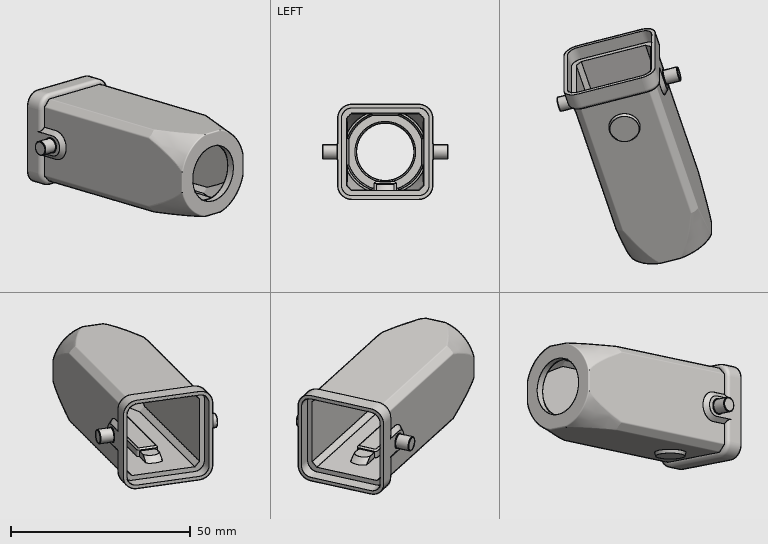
import cadquery as cq

length = 60.0
pin_span = 35.0

collar_span = 26.6
collar_half = collar_span / 2
collar_length = 5.4
collar_corner_radius = 4.0
collar_back_radius = 1.2
rim_thickness = 1.1
recess_depth = 3.85

body_half = 12.0
body_chamfer = 2.0
body_edge_radius = 0.6

nose_start = 46.85
nose_start_radius = 15.6
nose_end_radius = 12.3
end_edge_radius = 0.35

mouth_half = 10.8
room_chamfer = 1.45
room_end = 55.55
room_end_half = 10.55
room_cone_start_radius = 14.05
room_cone_end_radius = 11.8
bore_start_radius = 11.2
bore_floor_radius = 10.75
bore_floor = 57.3
bore_floor_half = 10.15
outlet_radius = 8.0
outlet_chamfer = 0.5

ear_center = 9.85
ear_start = 1.2
ear_base_half_width = 4.2
ear_height = collar_half - body_half
ear_side_angle = 45
pin_center = 9.25
pin_radius = 2.05
pin_tip_chamfer = 0.2
pin_foot = 0.2

boss_center = 14.7
boss_height = 1.0
boss_base_radius = 4.4
boss_tip_radius = 4.1
inner_boss_base_radius = 5.05
inner_boss_top_radius = 2.7
inner_boss_half_width = 2.45
inner_boss_top = -9.05
rib_start = 16.2
rib_half_width = 3.1
rib_front_radius = 0.65
rib_chamfer = 0.5
rib_top = -8.3

boss_root = (body_half + mouth_half) / 2


def rounded_square(half, corner_radius, depth):
    """Square block with rounded corners, from x = 0 to x = depth."""
    block = cq.Workplane("YZ").rect(2 * half, 2 * half).extrude(depth)
    return block.edges("|X").fillet(corner_radius)


def octagon(half, chamfer):
    """Corner points of a centred square with cut corners."""
    flat = half - chamfer
    return [
        (half, -flat), (half, flat), (flat, half), (-flat, half),
        (-half, flat), (-half, -flat), (-flat, -half), (flat, -half),
    ]


def octagon_loft(x_start, half_start, x_end, half_end, chamfer):
    """Tapered octagonal block between two places along X."""
    return (
        cq.Workplane("YZ", origin=(x_start, 0, 0))
        .polyline(octagon(half_start, chamfer)).close()
        .workplane(offset=x_end - x_start)
        .polyline(octagon(half_end, chamfer)).close()
        .loft(ruled=True)
    )


def cone_along_x(x_start, radius_start, x_end, radius_end):
    """Solid of revolution about X with a straight slanted side."""
    profile = [(x_start, 0), (x_start, radius_start), (x_end, radius_end), (x_end, 0)]
    return cq.Workplane("XY").polyline(profile).close().revolve(360, (0, 0, 0), (1, 0, 0))


def extended_cone(x_start, radius_start, x_end, radius_end):
    """Cone through two radii, carried on at the same slope back to x = 0."""
    slope = (radius_start - radius_end) / (x_end - x_start)
    return cone_along_x(0, radius_start + slope * x_start, x_end, radius_end)


def vertical_cone(radius_low, z_low, radius_high, z_high):
    """Upright cone frustum on the boss axis."""
    return (
        cq.Workplane("XY", origin=(boss_center, 0, z_low)).circle(radius_low)
        .workplane(offset=z_high - z_low).circle(radius_high).loft()
    )


def make_collar():
    """Collar block with its back rim rounded over."""
    collar = rounded_square(collar_half, collar_corner_radius, collar_length)
    return collar.faces(">X").edges().fillet(collar_back_radius)


def make_body():
    """Solid body with flattened corners and the conical nose."""
    body = cq.Workplane("YZ").polyline(octagon(body_half, body_chamfer)).close().extrude(length)
    body = body.intersect(extended_cone(nose_start, nose_start_radius, length, nose_end_radius))
    long_edges = body.edges("|X").vals()
    side_curves = body.edges("%HYPERBOLA").filter(lambda edge: edge.Length() > 2 * body_chamfer).vals()
    body = body.newObject(long_edges + side_curves).fillet(body_edge_radius)
    return body.faces(">X").edges().fillet(end_edge_radius)


def make_ear():
    """Sloped pad running from the collar to a round end, on the -Y side."""
    return (
        cq.Workplane("XZ", origin=(0, -body_half, 0))
        .moveTo(ear_start, -ear_base_half_width)
        .lineTo(ear_center, -ear_base_half_width)
        .threePointArc((ear_center + ear_base_half_width, 0), (ear_center, ear_base_half_width))
        .lineTo(ear_start, ear_base_half_width)
        .close()
        .extrude(ear_height, taper=ear_side_angle)
    )


def make_pin():
    """Locking pin on the -Y ear, with a small flared foot and a chamfered tip."""
    tip = pin_span / 2
    profile = [
        (0, body_half),
        (pin_radius + pin_foot, body_half),
        (pin_radius + pin_foot, collar_half),
        (pin_radius, collar_half + pin_foot),
        (pin_radius, tip - pin_tip_chamfer),
        (pin_radius - pin_tip_chamfer, tip),
        (0, tip),
    ]
    pin = cq.Workplane("XY").polyline(profile).close().revolve(360, (0, 0, 0), (0, 1, 0))
    return pin.mirror("XZ").translate((pin_center, 0, 0))


def make_cavity():
    """Everything hollow, from the recess at the mouth to the outlet hole."""
    recess = rounded_square(
        collar_half - rim_thickness, collar_corner_radius - rim_thickness, recess_depth
    )
    room = octagon_loft(0, mouth_half, room_end, room_end_half, room_chamfer)
    room = room.intersect(
        extended_cone(nose_start, room_cone_start_radius, room_end, room_cone_end_radius)
    )
    bore = octagon_loft(room_end, room_end_half, bore_floor, bore_floor_half, room_chamfer)
    bore = bore.intersect(
        cone_along_x(room_end, bore_start_radius, bore_floor, bore_floor_radius)
    )
    outlet = cone_along_x(bore_floor, outlet_radius, length, outlet_radius)
    countersink = cone_along_x(
        bore_floor, outlet_radius + outlet_chamfer, bore_floor + outlet_chamfer, outlet_radius
    )
    return recess.union(room).union(bore).union(outlet).union(countersink)


def make_outer_boss():
    """Tapered round boss under the body, rooted in the bottom wall."""
    tip = vertical_cone(boss_tip_radius, -body_half - boss_height, boss_base_radius, -body_half)
    root = vertical_cone(boss_base_radius, -body_half, boss_base_radius, -boss_root)
    return tip.union(root)


def make_inner_boss():
    """Conical boss with flat flanks, standing on the cavity bottom."""
    boss = vertical_cone(inner_boss_base_radius, -boss_root, inner_boss_top_radius, inner_boss_top)
    slab = cq.Workplane("XY").box(length, 2 * inner_boss_half_width, 2 * body_half)
    return boss.intersect(slab.translate((length / 2, 0, 0)))


def make_rib():
    """Rib with chamfered top edges, from the boss to the bore floor."""
    height = rib_top + boss_root
    rib_length = bore_floor - rib_start
    rib = cq.Workplane("XY").box(rib_length, 2 * rib_half_width, height, centered=(False, True, False))
    rib = rib.translate((rib_start, 0, -boss_root))
    rib = rib.edges("|Z and <X").fillet(rib_front_radius)
    return rib.faces(">Z").edges("not >X").chamfer(rib_chamfer)


shell = make_body().union(make_collar())
for side_part in (make_ear(), make_pin()):
    shell = shell.union(side_part).union(side_part.mirror("XZ"))
shell = shell.union(make_outer_boss())

result = shell.cut(make_cavity()).union(make_inner_boss()).union(make_rib())